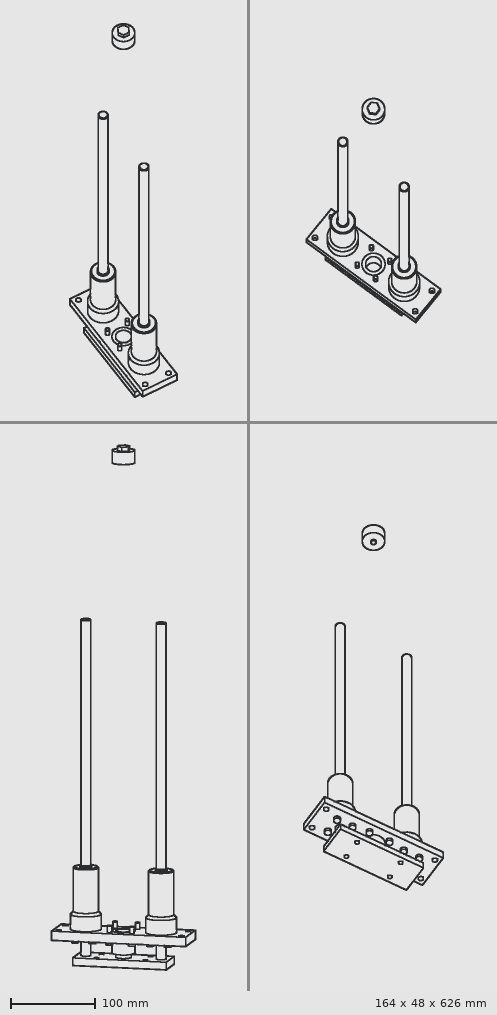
import cadquery as cq

GUIDE_PLATE_LENGTH = 164.0
GUIDE_PLATE_WIDTH = 48.0
GUIDE_PLATE_THICKNESS = 11.0
GUIDE_PLATE_BOTTOM = 30.0
GUIDE_PLATE_TOP = GUIDE_PLATE_BOTTOM + GUIDE_PLATE_THICKNESS
MOUNTING_HOLE_DIAMETER = 6.0
MOUNTING_HOLE_SPACING_X = 150.0
MOUNTING_HOLE_SPACING_Y = 32.5

ROD_SPACING = 92.0
ROD_DIAMETER = 12.0
ROD_TOP = 415.0
ROD_CHAMFER = 0.95
BUSHING_DIAMETER = 30.0
BUSHING_TOP = 116.5
BUSHING_CHAMFER = 1.0
SHOULDER_DIAMETER = 37.0
SHOULDER_TOP = 62.5
SHOULDER_CHAMFER = (SHOULDER_DIAMETER - BUSHING_DIAMETER) / 2
SEAL_DIAMETER = 14.5
SEAL_HEIGHT = 2.0

SCREW_HEAD_DIAMETER = 8.0
SCREW_HEAD_HEIGHT = 4.0
BUSHING_SCREW_SPACING = 21.0
CENTRE_SCREW_SPACING = 27.5
CENTRE_SCREW_DIAMETER = 5.2
CENTRE_SCREW_TOP = 49.5
CENTRE_SCREW_CHAMFER = 0.5

MOVING_PLATE_LENGTH = 114.5
MOVING_PLATE_WIDTH = 39.5
MOVING_PLATE_THICKNESS = 9.5
MOVING_HOLE_DIAMETER = 5.2
MOVING_HOLE_SPACING_X = 60.0
MOVING_HOLE_SPACING_Y = 25.0
STEM_DIAMETER = 19.0
SOCKET_DIAMETER = 27.5
SOCKET_BOTTOM = 14.5
SOCKET_BORE_DIAMETER = 19.0
SOCKET_FLOOR_THICKNESS = 4.0

OVERALL_HEIGHT = 626.0
CAP_DIAMETER = 27.0
CAP_HEIGHT = 15.0
HEX_CORNER_DIAMETER = 15.0
HEX_HEIGHT = 5.0
CAP_STUB_DIAMETER = 6.0
CAP_STUB_HEIGHT = 2.0


def cylinder(diameter, bottom, top, x=0.0):
    """Vertical cylinder between two heights, centred on Y = 0."""
    return cq.Workplane("XY", origin=(x, 0, bottom)).circle(diameter / 2).extrude(top - bottom)


def plate(length, width, bottom, thickness):
    """Rectangular plate centred on the Z axis."""
    return cq.Workplane("XY", origin=(0, 0, bottom)).rect(length, width).extrude(thickness)


def four_cylinders(diameter, spacing_x, spacing_y, bottom, top, x=0.0):
    """Four cylinders on the corners of a rectangle."""
    corners = cq.Workplane("XY", origin=(x, 0, bottom)).rect(spacing_x, spacing_y, forConstruction=True)
    return corners.vertices().circle(diameter / 2).extrude(top - bottom)


def rod_positions():
    """X positions of the two rods."""
    return (-ROD_SPACING / 2, ROD_SPACING / 2)


def screw_heads(spacing, x=0.0):
    """Four screw heads under the guide plate."""
    head_bottom = GUIDE_PLATE_BOTTOM - SCREW_HEAD_HEIGHT
    return four_cylinders(SCREW_HEAD_DIAMETER, spacing, spacing, head_bottom, GUIDE_PLATE_BOTTOM, x)


def make_bushing(x):
    """Shouldered bushing with its rod seal, still without the rod bore."""
    shoulder = cylinder(SHOULDER_DIAMETER, GUIDE_PLATE_TOP, SHOULDER_TOP, x)
    shoulder = shoulder.faces(">Z").chamfer(SHOULDER_CHAMFER)
    sleeve = cylinder(BUSHING_DIAMETER, GUIDE_PLATE_TOP, BUSHING_TOP, x)
    sleeve = sleeve.faces(">Z").chamfer(BUSHING_CHAMFER)
    seal = cylinder(SEAL_DIAMETER, BUSHING_TOP, BUSHING_TOP + SEAL_HEIGHT, x)
    return sleeve.union(shoulder).union(seal)


def make_guide():
    """Guide plate, bushings and screws."""
    guide = plate(GUIDE_PLATE_LENGTH, GUIDE_PLATE_WIDTH, GUIDE_PLATE_BOTTOM, GUIDE_PLATE_THICKNESS)
    guide = guide.cut(
        four_cylinders(
            MOUNTING_HOLE_DIAMETER,
            MOUNTING_HOLE_SPACING_X,
            MOUNTING_HOLE_SPACING_Y,
            GUIDE_PLATE_BOTTOM,
            GUIDE_PLATE_TOP,
        )
    )
    guide = guide.cut(cylinder(SOCKET_DIAMETER, GUIDE_PLATE_BOTTOM, GUIDE_PLATE_TOP))
    for x in rod_positions():
        guide = guide.union(make_bushing(x)).union(screw_heads(BUSHING_SCREW_SPACING, x))
        guide = guide.cut(cylinder(ROD_DIAMETER, 0, ROD_TOP, x))
    centre_screws = four_cylinders(
        CENTRE_SCREW_DIAMETER,
        CENTRE_SCREW_SPACING,
        CENTRE_SCREW_SPACING,
        GUIDE_PLATE_BOTTOM,
        CENTRE_SCREW_TOP,
    )
    centre_screws = centre_screws.faces(">Z").chamfer(CENTRE_SCREW_CHAMFER)
    return guide.union(screw_heads(CENTRE_SCREW_SPACING)).union(centre_screws)


def make_slide():
    """Moving plate with both rods and the central socket, which fits flush in the guide plate."""
    slide = plate(MOVING_PLATE_LENGTH, MOVING_PLATE_WIDTH, 0, MOVING_PLATE_THICKNESS)
    slide = slide.cut(
        four_cylinders(
            MOVING_HOLE_DIAMETER,
            MOVING_HOLE_SPACING_X,
            MOVING_HOLE_SPACING_Y,
            0,
            MOVING_PLATE_THICKNESS,
        )
    )
    for x in rod_positions():
        rod = cylinder(ROD_DIAMETER, 0, ROD_TOP, x).faces(">Z").chamfer(ROD_CHAMFER)
        slide = slide.union(rod)
    stem = cylinder(STEM_DIAMETER, 0, SOCKET_BOTTOM)
    socket = cylinder(SOCKET_DIAMETER, SOCKET_BOTTOM, GUIDE_PLATE_TOP)
    bore_bottom = SOCKET_BOTTOM + SOCKET_FLOOR_THICKNESS
    bore = cylinder(SOCKET_BORE_DIAMETER, bore_bottom, GUIDE_PLATE_TOP)
    return slide.union(stem).union(socket.cut(bore))


def make_cap():
    """Round cap with a hexagon on top, corners along Y, and a short stub below."""
    body_top = OVERALL_HEIGHT - HEX_HEIGHT
    body_bottom = body_top - CAP_HEIGHT
    body = cylinder(CAP_DIAMETER, body_bottom, body_top)
    hexagon = cq.Workplane("XY", origin=(0, 0, body_top)).polygon(6, HEX_CORNER_DIAMETER)
    hexagon = hexagon.extrude(HEX_HEIGHT).rotate((0, 0, 0), (0, 0, 1), 90)
    stub = cylinder(CAP_STUB_DIAMETER, body_bottom - CAP_STUB_HEIGHT, body_bottom)
    return body.union(hexagon).union(stub)


guide = make_guide()
slide = make_slide()
cap = make_cap()
result = cq.Compound.makeCompound([guide.val(), slide.val(), cap.val()])